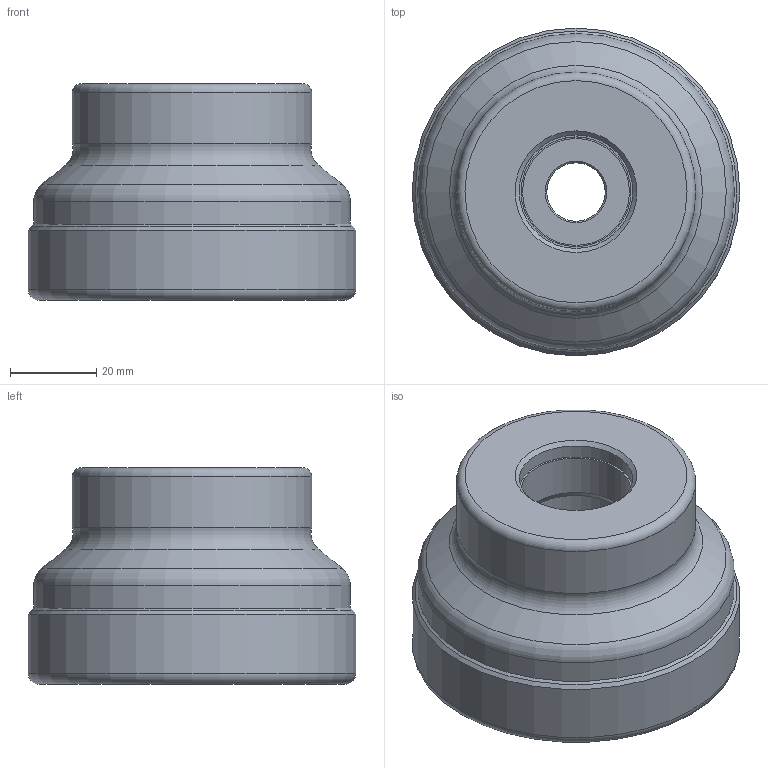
import cadquery as cq
import math

total_height = 50.31
base_radius = 38.1
shoulder_radius = 36.83
neck_radius = 27.82

base_fillet = 2.54
neck_fillet = 2.0

base_wall_top = 16.3
joint_height = 17.2
joint_radius = 37.42
flare_top = 17.7

cone_tilt = math.radians(51.0)
shoulder_blend_radius = 5.08
shoulder_blend_start = 22.97
neck_blend_radius = 4.75
neck_blend_start = 31.4

mouth_chamfer = 0.95
seat_radius = 13.2
seat_depth = 4.08
land_radius = 12.75
land_end_depth = 13.85
chamber_radius = 13.35
chamber_taper = math.radians(24.7)

recess_radius = 12.42
recess_depth = 3.0
hole_radius = 6.8
hole_chamfer = 0.35


def point_on_arc(center, radius, angle):
    """Point at the given angle on a circle in the plane of radius and height."""
    return (center[0] + radius * math.cos(angle), center[1] + radius * math.sin(angle))


def revolve_about_z(profile):
    return profile.close().revolve(360, (0, 0), (0, 1))


def make_base():
    """Disc with a rounded bottom edge, a bevelled top edge, a floor recess and a through hole."""
    recess_floor = joint_height - recess_depth
    return revolve_about_z(
        cq.Workplane("XZ")
        .moveTo(hole_radius, 0)
        .lineTo(base_radius - base_fillet, 0)
        .radiusArc((base_radius, base_fillet), -base_fillet)
        .lineTo(base_radius, base_wall_top)
        .lineTo(joint_radius, joint_height)
        .lineTo(recess_radius, joint_height)
        .lineTo(recess_radius, recess_floor)
        .lineTo(hole_radius + hole_chamfer, recess_floor)
        .lineTo(hole_radius, recess_floor - hole_chamfer)
    )


def make_housing():
    """Bell with a sloped shoulder, a straight neck and a stepped bore open to the base."""
    shoulder_center = (shoulder_radius - shoulder_blend_radius, shoulder_blend_start)
    shoulder_middle = point_on_arc(shoulder_center, shoulder_blend_radius, cone_tilt / 2)
    cone_bottom = point_on_arc(shoulder_center, shoulder_blend_radius, cone_tilt)

    cone_rise = neck_blend_start - cone_bottom[1]
    cone_top = (cone_bottom[0] - cone_rise * math.tan(cone_tilt), neck_blend_start)
    neck_center = point_on_arc(cone_top, neck_blend_radius, cone_tilt)
    waist = point_on_arc(neck_center, neck_blend_radius, math.pi)
    overrun = math.acos((neck_center[0] - neck_radius) / neck_blend_radius)
    neck_bottom = point_on_arc(neck_center, neck_blend_radius, math.pi - overrun)

    seat_floor = total_height - seat_depth
    land_bottom = total_height - land_end_depth
    chamber_top = land_bottom - (chamber_radius - land_radius) / math.tan(chamber_taper)

    return revolve_about_z(
        cq.Workplane("XZ")
        .moveTo(chamber_radius, joint_height)
        .lineTo(joint_radius, joint_height)
        .lineTo(shoulder_radius, flare_top)
        .lineTo(shoulder_radius, shoulder_blend_start)
        .threePointArc(shoulder_middle, cone_bottom)
        .lineTo(*cone_top)
        .threePointArc(waist, neck_bottom)
        .lineTo(neck_radius, total_height - neck_fillet)
        .radiusArc((neck_radius - neck_fillet, total_height), -neck_fillet)
        .lineTo(seat_radius + mouth_chamfer, total_height)
        .lineTo(seat_radius, total_height - mouth_chamfer)
        .lineTo(seat_radius, seat_floor)
        .lineTo(land_radius, seat_floor)
        .lineTo(land_radius, land_bottom)
        .lineTo(chamber_radius, chamber_top)
    )


base = make_base()
housing = make_housing()
result = cq.Compound.makeCompound([base.val(), housing.val()])